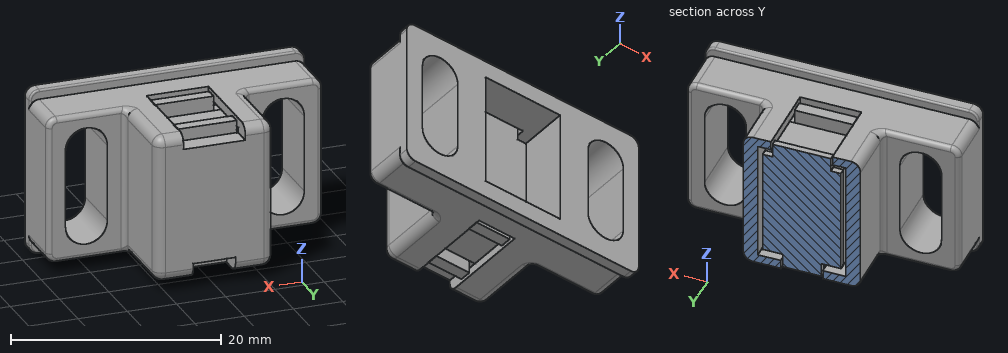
import cadquery as cq
import math


width = 28.0
flange_height = 17.0
flange_thickness = 1.2
flange_edge_radius = 0.2

depth = 14.0
body_height = 15.0
arm_depth = 6.0
stem_width = 12.0
corner_radius = 1.0
arm_back_radius = 0.5
inner_corner_radius = 0.5
inner_corner_reach = 2.02

screw_slot_width = 4.25
screw_slot_length = 12.0
screw_slot_offset = 10.0

cavity_width = 9.0
cavity_height = 13.0
cavity_depth = 12.0

plate_thickness = 1.2
plate_width = 8.0
plate_shoulder_height = 11.5
plate_height = 14.5
top_tab_width = 6.0
bottom_tab_width = 4.0

tab_clearance = 0.15
tab_slot_depth = 1.5
tab_slot_start = 4.0

magnet_thickness = 5.0

rear_plate_front = cavity_depth - plate_thickness
magnet_front = rear_plate_front - magnet_thickness
front_plate_front = magnet_front - plate_thickness

TOP = 1
BOTTOM = -1


def block(size_x, size_z, y_front, y_back):
    """Box centred on X and Z that spans y_front to y_back."""
    box = cq.Workplane("XY").box(size_x, y_back - y_front, size_z)
    return box.translate((0, (y_front + y_back) / 2, 0))


def make_flange():
    """Mounting plate with rounded corners and a softened rear edge."""
    flange = block(width, flange_height, 0, flange_thickness)
    flange = flange.edges("|Y").fillet(corner_radius)
    return flange.faces(">Y").edges().fillet(flange_edge_radius)


def make_arms():
    """Wide block behind the flange that carries the screw slots."""
    arms = block(width, body_height, 0, arm_depth)
    arms = arms.edges("|Y").fillet(corner_radius)
    return arms.faces(">Y").edges().fillet(arm_back_radius)


def make_stem():
    """Rounded block that reaches the back of the housing."""
    stem = block(stem_width, body_height, 0, depth)
    return stem.edges("|Y or >Y").fillet(corner_radius)


def wall_section(plane, edge_radius):
    """Full-height wall profile with its face at local x = 0 and both outer corners rounded."""
    half = body_height / 2
    profile = (
        cq.Workplane(plane)
        .moveTo(-inner_corner_reach, -half)
        .lineTo(-edge_radius, -half)
        .radiusArc((0, -half + edge_radius), -edge_radius)
        .lineTo(0, half - edge_radius)
        .radiusArc((-edge_radius, half), -edge_radius)
        .lineTo(-inner_corner_reach, half)
        .close()
    )
    return profile.wires().val()


def make_inner_corner():
    """Concave corner between stem and right arm.

    The rounding of its top and bottom edges shrinks from the stem's radius to the arm's,
    so that the rounding ends on the flat faces along a quarter ellipse.
    """
    center_x = stem_width / 2 + inner_corner_radius
    center_y = arm_depth + inner_corner_radius
    ellipse_x = inner_corner_radius + corner_radius
    ellipse_y = inner_corner_radius + arm_back_radius

    sections = []
    for degrees in (0, 45, 90):
        cos = math.cos(math.radians(degrees))
        sin = math.sin(math.radians(degrees))
        ellipse_distance = ellipse_x * ellipse_y / math.hypot(ellipse_y * cos, ellipse_x * sin)
        plane = cq.Plane(
            origin=(center_x - inner_corner_radius * cos, center_y - inner_corner_radius * sin, 0),
            xDir=(cos, sin, 0),
            normal=(sin, -cos, 0),
        )
        sections.append(wall_section(plane, ellipse_distance - inner_corner_radius))

    path = (
        cq.Workplane("XY")
        .moveTo(stem_width / 2, center_y)
        .radiusArc((center_x, arm_depth), -inner_corner_radius)
    )
    return cq.Workplane(cq.Solid.sweep_multi(sections, path.val()))


def make_screw_slots():
    """Upright round-ended slots, one through each arm."""
    return (
        cq.Workplane("XZ")
        .pushPoints([(-screw_slot_offset, 0), (screw_slot_offset, 0)])
        .slot2D(screw_slot_length, screw_slot_width, 90)
        .extrude(-arm_depth)
    )


def make_tab_slot(tab_width, side):
    """Slot for the plate tabs through the top or bottom wall, open at the back."""
    slot = block(tab_width + 2 * tab_clearance, tab_slot_depth, tab_slot_start, depth)
    return slot.translate((0, 0, side * (body_height - tab_slot_depth) / 2))


def make_housing():
    """Flanged T-shaped housing with its cavity, tab slots and screw slots."""
    inner_corner = make_inner_corner()
    housing = make_arms().union(make_stem())
    housing = housing.union(inner_corner).union(inner_corner.mirror("YZ"))
    housing = housing.union(make_flange())
    housing = housing.cut(make_screw_slots())
    housing = housing.cut(block(cavity_width, cavity_height, 0, cavity_depth))
    housing = housing.cut(make_tab_slot(top_tab_width, TOP))
    return housing.cut(make_tab_slot(bottom_tab_width, BOTTOM))


def make_plate(y_front):
    """Pole plate with a wide tab at the top and a narrow one at the bottom."""
    y_back = y_front + plate_thickness
    plate = block(plate_width, plate_shoulder_height, y_front, y_back)
    half_height = plate_height / 2
    for tab_width, side in ((top_tab_width, TOP), (bottom_tab_width, BOTTOM)):
        tab = block(tab_width, half_height, y_front, y_back)
        plate = plate.union(tab.translate((0, 0, side * half_height / 2)))
    return plate


def make_magnet():
    """Block magnet filling the space between the plates."""
    return block(plate_width, plate_shoulder_height, magnet_front, rear_plate_front)


housing = make_housing().solids()
magnet = make_magnet().solids()
plates = [make_plate(y_front).solids() for y_front in (front_plate_front, rear_plate_front)]

result = cq.Compound.makeCompound([housing.val(), magnet.val(), *[plate.val() for plate in plates]])